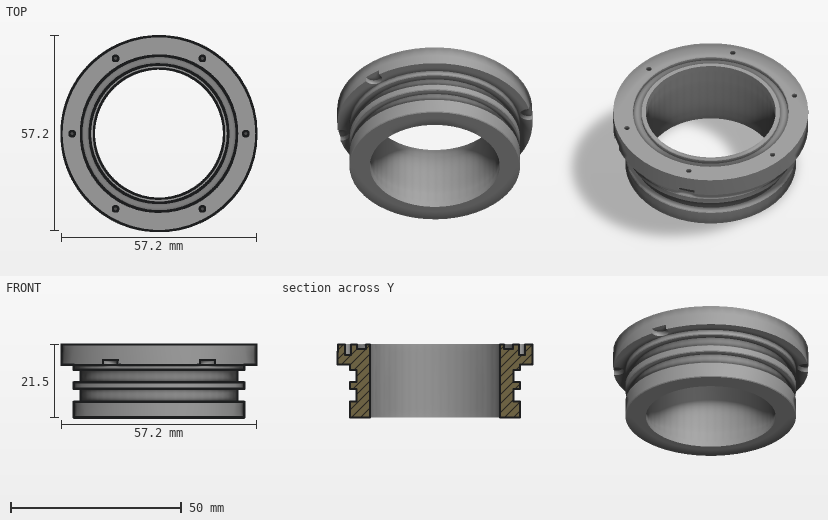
import cadquery as cq
import math

flange_radius = 28.6
body_radius = 25.05
groove_floor_radius = 23.05
bore_radius = 19.05

total_height = 21.5
flange_bottom = 15.5
lip_bottom = 13.95
rib_top = 10.5
rib_bottom = 8.4
foot_top = 4.8
edge_chamfer = 0.25

face_groove_inner_radius = 20.35
face_groove_outer_radius = 22.75
face_groove_depth = 1.25
face_groove_chamfer = 0.2

hole_count = 6
hole_circle_radius = 25.45
hole_diameter = 1.6
hole_depth = 3.05

notch_angles = (60, 120, 240, 300)
notch_center_radius = 27.85
notch_width = 5.0
notch_height = 1.5


def disc(radius, bottom, top):
    return cq.Workplane("XY").workplane(offset=bottom).circle(radius).extrude(top - bottom)


def make_ring():
    """Turned body: flange, lip, rib and foot around a plain core."""
    core = disc(groove_floor_radius, 0, total_height)
    flange = disc(flange_radius, flange_bottom, total_height)
    lip = disc(body_radius, lip_bottom, flange_bottom).faces("<Z").chamfer(edge_chamfer)
    rib = disc(body_radius, rib_bottom, rib_top).faces("<Z or >Z").chamfer(edge_chamfer)
    foot = disc(body_radius, 0, foot_top).faces("<Z or >Z").chamfer(edge_chamfer)
    bore = disc(bore_radius, 0, total_height)
    return core.union(flange).union(lip).union(rib).union(foot).cut(bore)


def make_face_groove():
    """Ring-shaped cutter with both mouth edges chamfered."""
    floor = total_height - face_groove_depth
    chamfer_bottom = total_height - face_groove_chamfer
    mouth_inner = face_groove_inner_radius - face_groove_chamfer
    mouth_outer = face_groove_outer_radius + face_groove_chamfer
    profile = [
        (face_groove_inner_radius, floor),
        (face_groove_outer_radius, floor),
        (face_groove_outer_radius, chamfer_bottom),
        (mouth_outer, total_height),
        (mouth_inner, total_height),
        (face_groove_inner_radius, chamfer_bottom),
    ]
    return cq.Workplane("XZ").polyline(profile).close().revolve(360, (0, 0), (0, 1))


def make_notch(angle):
    """Slot with a round inner end, open through the flange rim."""
    notch_top = flange_bottom + notch_height
    center_x = notch_center_radius * math.cos(math.radians(angle))
    center_y = notch_center_radius * math.sin(math.radians(angle))
    round_end = disc(notch_width / 2, flange_bottom, notch_top).translate((center_x, center_y, 0))
    channel = (
        cq.Workplane("XY")
        .workplane(offset=flange_bottom)
        .center(notch_center_radius, 0)
        .rect(notch_width, notch_width)
        .extrude(notch_height)
        .translate((notch_width / 2, 0, 0))
        .rotate((0, 0, 0), (0, 0, 1), angle)
    )
    return round_end.union(channel)


holes = (
    cq.Workplane("XY")
    .workplane(offset=total_height - hole_depth)
    .polarArray(hole_circle_radius, 0, 360, hole_count)
    .circle(hole_diameter / 2)
    .extrude(hole_depth)
)

result = make_ring().cut(make_face_groove()).cut(holes)
for notch_angle in notch_angles:
    result = result.cut(make_notch(notch_angle))